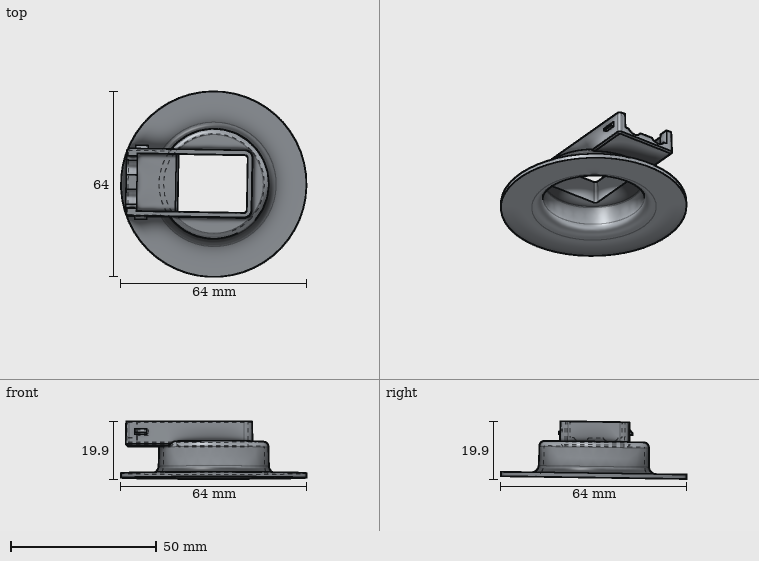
import cadquery as cq
import math

sheet = 1.6
flange_radius = 32.0
hat_foot_radius = 19.1
hat_draft = 1.3
hat_height = 12.5
hat_top_fillet = 1.9
hat_foot_fillet = 2.35

tray_base_z = 10.8
tray_top_z = 19.3
tray_left = -30.0
tray_right = 13.1
tray_width = 23.1
tray_draft = 1.2
wall = 1.6
end_wall = 3.6
floor_top_z = 12.2
inner_left = tray_left + end_wall
inner_right = tray_right - wall
inner_width = tray_width - 2 * wall
outer_corner_radius = 2.55
end_corner_radius = 0.95
inner_corner_radius = 0.95
base_chamfer = 0.65

window_left = -12.2
window_slope_run = 0.8

notch_width = 17.9
notch_z = 13.8
notch_corner_radius = 0.5
scallop_offset = 5.05
scallop_chord = 5.1
scallop_depth = 1.5

latch_left = -27.0
latch_length = 4.2
latch_base_z = 14.85
latch_height = 2.0
latch_lip = 0.65
latch_reach = 1.15

roll_angle = -0.85
turn_angle = -1.0


def revolve_hat(foot_radius, foot_z, foot_fillet, top_z, top_fillet, rim_radius):
    """Revolve a drafted hat with a flared foot and a rounded top edge, closed down to z = 0."""
    draft_run = (top_z - top_fillet - foot_z - foot_fillet) * math.tan(math.radians(hat_draft))
    top_radius = foot_radius - draft_run
    half = math.sqrt(0.5)
    foot_mid = (
        foot_radius + foot_fillet * (1 - half),
        foot_z + foot_fillet * (1 - half),
    )
    top_mid = (
        top_radius - top_fillet * (1 - half),
        top_z - top_fillet * (1 - half),
    )
    profile = cq.Workplane("XZ").lineTo(rim_radius, 0)
    if foot_z > 0:
        profile = profile.lineTo(rim_radius, foot_z)
        profile = profile.lineTo(foot_radius + foot_fillet, foot_z)
    return (
        profile
        .threePointArc(foot_mid, (foot_radius, foot_z + foot_fillet))
        .lineTo(top_radius, top_z - top_fillet)
        .threePointArc(top_mid, (top_radius - top_fillet, top_z))
        .lineTo(0, top_z)
        .close()
        .revolve(360, (0, 0, 0), (0, 1, 0))
    )


def make_hat():
    return revolve_hat(
        hat_foot_radius, sheet, hat_foot_fillet, hat_height, hat_top_fillet, flange_radius
    )


def make_hat_cavity():
    cavity_foot_fillet = hat_foot_fillet + sheet
    cavity_foot_radius = hat_foot_radius - sheet
    return revolve_hat(
        cavity_foot_radius,
        0,
        cavity_foot_fillet,
        hat_height - sheet,
        hat_top_fillet - sheet,
        cavity_foot_radius + cavity_foot_fillet,
    )


def block(left, right, width, bottom, top):
    """Box centred on the X axis."""
    return cq.Workplane("XY").box(
        right - left, width, top - bottom, centered=(False, True, False)
    ).translate((left, 0, bottom))


def make_tray_body():
    """Solid tray, widening downwards, with rounded corners and a chamfered base edge."""
    length = tray_right - tray_left
    outline = (
        cq.Sketch()
        .rect(length, tray_width)
        .vertices(">X")
        .fillet(outer_corner_radius)
        .reset()
        .vertices("<X")
        .fillet(end_corner_radius)
    )
    return (
        cq.Workplane("XY", origin=((tray_left + tray_right) / 2, 0, tray_top_z))
        .placeSketch(outline)
        .extrude(-(tray_top_z - tray_base_z), taper=-tray_draft)
        .faces("<Z")
        .chamfer(base_chamfer)
    )


def make_tray_pocket():
    pocket = block(inner_left, inner_right, inner_width, floor_top_z, tray_top_z)
    return pocket.edges("|Z and >X").fillet(inner_corner_radius)


def make_window():
    """Opening from the tray into the hat; its left edge slopes through the floor."""
    window_base_z = hat_height - sheet - window_slope_run
    slope_base_z = hat_height - sheet
    return (
        cq.Workplane("XZ", origin=(0, inner_width / 2, 0))
        .moveTo(window_left, window_base_z)
        .lineTo(inner_right, window_base_z)
        .lineTo(inner_right, floor_top_z)
        .lineTo(window_left - window_slope_run, floor_top_z)
        .lineTo(window_left, slope_base_z)
        .close()
        .extrude(inner_width)
        .edges("|Z and >X")
        .fillet(inner_corner_radius)
    )


def make_end_notch():
    notch_left = tray_left - wall
    notch = block(notch_left, inner_left, notch_width, notch_z, tray_top_z)
    notch = notch.edges("|X and <Z").fillet(notch_corner_radius)
    scallop_radius = (scallop_chord**2 / 4 + scallop_depth**2) / (2 * scallop_depth)
    scallop_centre_z = notch_z - scallop_depth + scallop_radius
    for side in (-1, 1):
        scallop = (
            cq.Workplane("YZ", origin=(notch_left, 0, 0))
            .center(side * scallop_offset, scallop_centre_z)
            .circle(scallop_radius)
            .extrude(inner_left - notch_left)
        )
        notch = notch.union(scallop)
    return notch


def make_latch(side):
    """Wedge with a flat underside; side is +1 or -1 along Y."""
    root_y = side * (tray_width / 2 - wall / 2)
    face_y = side * tray_width / 2
    tip_y = face_y + side * latch_reach
    return (
        cq.Workplane("YZ", origin=(latch_left, 0, 0))
        .moveTo(root_y, latch_base_z)
        .lineTo(tip_y, latch_base_z)
        .lineTo(tip_y, latch_base_z + latch_lip)
        .lineTo(face_y, latch_base_z + latch_height)
        .lineTo(root_y, latch_base_z + latch_height)
        .close()
        .extrude(latch_length)
    )


body = make_hat().union(make_tray_body())
for latch_side in (-1, 1):
    body = body.union(make_latch(latch_side))
for cutter in (make_hat_cavity(), make_tray_pocket(), make_window(), make_end_notch()):
    body = body.cut(cutter)

result = (
    body
    .rotate((0, 0, 0), (0, 0, 1), turn_angle)
    .rotate((0, 0, 0), (1, 0, 0), roll_angle)
)